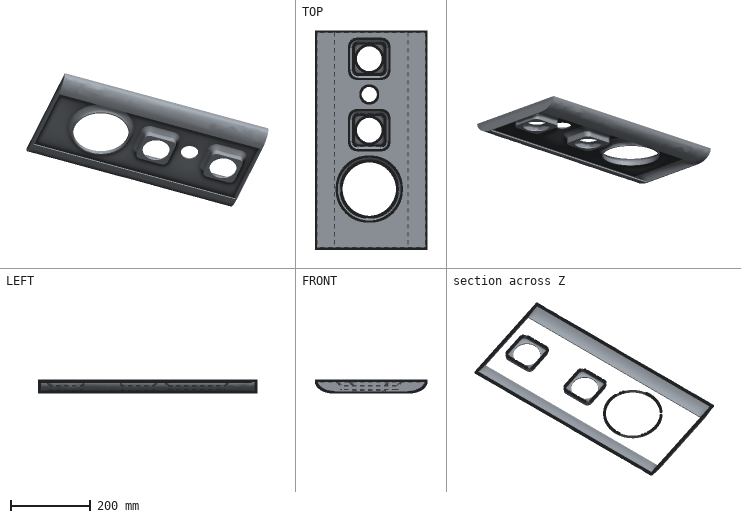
import cadquery as cq
import math

PLATE_WIDTH = 279.0
PLATE_LENGTH = 548.0
PLATE_THICKNESS = 30.0
WALL = 3.0
EDGE_CURVE_WIDTH = 47.0
HALF_FLAT = PLATE_WIDTH / 2 - EDGE_CURVE_WIDTH

OPENING_X = -5.0
BEVEL = 12.0
BEVEL_ANGLE = 45.0
OUTER_BEVEL = BEVEL + WALL * (math.sqrt(2) - 1)

SMALL_HOLE_Y = 115.0
SMALL_HOLE_DIAMETER = 44.0

POCKET_SPACING = 180.0
POCKET_SIZE = 77.0
POCKET_CORNER_RADIUS = 10.0
POCKET_DEPTH = 25.0
POCKET_HOLE_DIAMETER = 68.0
POCKET_YS = [SMALL_HOLE_Y + side * POCKET_SPACING / 2 for side in (-1, 1)]

LARGE_HOLE_Y = -123.5
LARGE_HOLE_DIAMETER = 140.0
COLLAR_DEPTH = 22.0


def make_curved_bar(inset):
    """Bar along Y with a flat top and bottom and quarter-ellipse sides, inset from the plate surface.

    The top stays level with the plate top; the sides, the bottom and both ends move inward.
    """
    half_width = PLATE_WIDTH / 2 - inset
    length = PLATE_LENGTH - 2 * inset
    curve_width = EDGE_CURVE_WIDTH - inset
    curve_height = PLATE_THICKNESS - inset
    section = (
        cq.Workplane("XZ", origin=(0, length / 2, 0))
        .moveTo(-half_width, PLATE_THICKNESS)
        .lineTo(half_width, PLATE_THICKNESS)
        .ellipseArc(curve_width, curve_height, 270, 360, sense=-1, startAtCurrent=True)
        .lineTo(-HALF_FLAT, inset)
        .ellipseArc(curve_width, curve_height, 180, 270, sense=-1, startAtCurrent=True)
        .close()
    )
    return section.extrude(length)


def make_cavity():
    """Inside of the shell: below the top skin, and open through the flat of the bottom."""
    below_skin = (
        cq.Workplane("XY")
        .rect(PLATE_WIDTH, PLATE_LENGTH)
        .extrude(PLATE_THICKNESS - WALL)
    )
    bottom_opening = (
        cq.Workplane("XY")
        .rect(2 * HALF_FLAT, PLATE_LENGTH - 2 * WALL)
        .extrude(PLATE_THICKNESS - WALL)
    )
    return make_curved_bar(WALL).intersect(below_skin).union(bottom_opening)


def make_through_hole(y, diameter):
    """Cylinder that passes through the whole plate."""
    return cq.Workplane("XY").center(OPENING_X, y).circle(diameter / 2).extrude(PLATE_THICKNESS)


def make_rounded_square(size, radius, z):
    """Square outline with rounded corners, centred on the Z axis at height z."""
    outline = cq.Sketch().rect(size, size).vertices().fillet(radius)
    return cq.Workplane("XY", origin=(0, 0, z)).placeSketch(outline)


def make_pocket_form(y, wall, bevel):
    """Rounded square form with straight lower walls and a bevelled rim, grown outward by wall."""
    size = POCKET_SIZE + 2 * wall
    radius = POCKET_CORNER_RADIUS + wall
    depth = POCKET_DEPTH + wall
    bevel_z = PLATE_THICKNESS - bevel
    straight = make_rounded_square(size, radius, PLATE_THICKNESS - depth).extrude(depth)
    rim = make_rounded_square(size, radius, bevel_z).extrude(bevel, taper=-BEVEL_ANGLE)
    return straight.union(rim).translate((OPENING_X, y, 0))


def make_collar_form(wall, bevel):
    """Round form with a conical rim at the top, grown outward by wall."""
    radius = LARGE_HOLE_DIAMETER / 2 + wall
    straight = (
        cq.Workplane("XY", origin=(OPENING_X, LARGE_HOLE_Y, PLATE_THICKNESS - COLLAR_DEPTH))
        .circle(radius)
        .extrude(COLLAR_DEPTH)
    )
    rim = cq.Solid.makeCone(
        radius,
        radius + bevel,
        bevel,
        pnt=cq.Vector(OPENING_X, LARGE_HOLE_Y, PLATE_THICKNESS - bevel),
    )
    return straight.union(cq.Workplane(rim))


result = make_curved_bar(0).cut(make_cavity())

for pocket_y in POCKET_YS:
    result = result.union(make_pocket_form(pocket_y, WALL, OUTER_BEVEL))
    result = result.cut(make_pocket_form(pocket_y, 0, BEVEL))
    result = result.cut(make_through_hole(pocket_y, POCKET_HOLE_DIAMETER))
result = result.union(make_collar_form(WALL, OUTER_BEVEL))
result = result.cut(make_collar_form(0, BEVEL))
result = result.cut(make_through_hole(SMALL_HOLE_Y, SMALL_HOLE_DIAMETER))